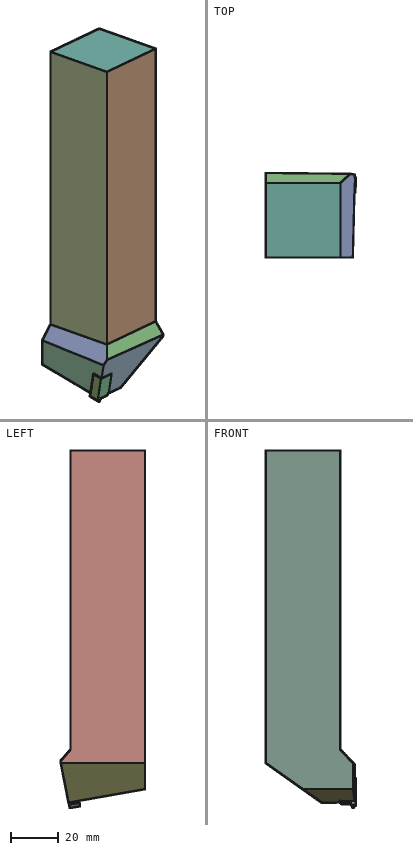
import cadquery as cq
import math

total_height = 151.4
shank_side = 31.6

flare_start = 24.8
side_flare = 5.3
side_flare_drop = 5.6
side_relief = 1.4
nose_start = 19.0
nose_x = 23.3
nose_z = 2.5
bottom_height = 8.0
bottom_slope = 10.0
back_flare_slope = 49.0

rake_foot_y = 32.4
rake_lean = 10.0
rake_skew = 0.7
margin = 15.1

insert_left = 31.3
insert_right = 38.1
insert_top = 12.1
insert_thickness = 4.5
insert_corner_z = 2.4
insert_edge_z = 1.5
insert_chamfer = 1.0
tip_x = 37.0
tip_start_x = 36.0
tip_corner_z = 1.2

reach = shank_side + margin
lean = math.radians(rake_lean)
skew = math.radians(rake_skew)
rake_plane = cq.Plane(
    origin=(0, rake_foot_y, 0),
    xDir=(math.cos(skew), -math.sin(skew), 0),
    normal=(
        math.sin(skew) * math.cos(lean),
        math.cos(skew) * math.cos(lean),
        -math.sin(lean),
    ),
)


def make_front_profile():
    """Outline across X and Z: shank, +X flare and slanted nose."""
    head_x = shank_side + side_flare
    flare_slope = side_flare_drop / side_flare
    flare_end_z = flare_start - flare_slope * (reach - shank_side)
    nose_slope = (nose_start - nose_z) / nose_x
    bottom_x = nose_start / nose_slope
    outline = [
        (0, total_height),
        (0, nose_start),
        (bottom_x, 0),
        (reach, 0),
        (reach, flare_end_z),
        (shank_side, flare_start),
        (shank_side, total_height),
    ]
    profile = cq.Workplane("XZ").polyline(outline).close().extrude(-reach)
    widening = math.tan(math.radians(side_relief)) * reach
    plan = [(0, 0), (head_x, 0), (head_x + widening, reach), (0, reach)]
    return profile.intersect(cq.Workplane("XY").polyline(plan).close().extrude(total_height))


def make_side_profile():
    """Outline across Y and Z: shank, +Y flare and sloping bottom."""
    flare_end_z = flare_start - math.tan(math.radians(back_flare_slope)) * margin
    bottom_end_z = bottom_height - math.tan(math.radians(bottom_slope)) * reach
    outline = [
        (0, total_height),
        (0, bottom_height),
        (reach, bottom_end_z),
        (reach, flare_end_z),
        (shank_side, flare_start),
        (shank_side, total_height),
    ]
    return cq.Workplane("YZ").polyline(outline).close().extrude(reach)


def make_insert():
    """Cutting insert, flush with the rake face, with its tip below the head."""
    outline = [
        (insert_left, insert_top),
        (insert_left, insert_corner_z),
        (insert_left + insert_chamfer, insert_edge_z),
        (tip_start_x, insert_edge_z),
        (tip_x, 0),
        (insert_right, tip_corner_z),
        (insert_right, insert_top),
    ]
    points = [(x, -height) for x, height in outline]
    return cq.Workplane(rake_plane).polyline(points).close().extrude(-insert_thickness)


def make_holder(insert):
    """Shank and head in one piece, with a pocket that fits the insert."""
    beyond_rake = (
        cq.Workplane(rake_plane)
        .rect(2 * reach, 2 * flare_start)
        .extrude(margin)
    )
    blank = make_front_profile().intersect(make_side_profile())
    return blank.cut(beyond_rake).cut(insert).solids()


insert = make_insert()
holder = make_holder(insert)
result = cq.Compound.makeCompound([holder.val(), insert.val()])